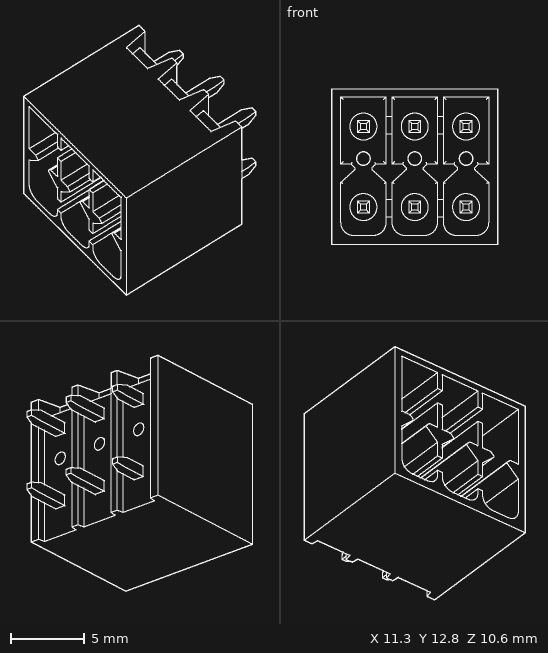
import cadquery as cq
import math

OVERALL_DEPTH = 12.75

HOUSING_WIDTH = 11.3
HOUSING_DEPTH = 10.0
HOUSING_HEIGHT = 10.6
COLUMNS = 3
COLUMN_PITCH = 3.49
COLUMN_X = [(i - (COLUMNS - 1) / 2) * COLUMN_PITCH for i in range(COLUMNS)]

CAVITY_WIDTH = 3.09
CAVITY_DEPTH = 7.01
CAVITY_TOP_Z = 4.75
CAVITY_BOTTOM_Z = -4.68
LEDGE_Z = 0.18
LEDGE_HALF_GAP = 0.83
WAIST_HALF_GAP = 0.6
WAIST_BULGE = 0.032
WAIST_BOTTOM_Z = -0.2
WAIST_TOP_Z = LEDGE_Z - (LEDGE_HALF_GAP - WAIST_HALF_GAP)
SHOULDER_Z = -1.07
LOWER_CORNER_RADIUS = 0.89
FLOOR_FILLET = 0.2

PIN_ROW_PITCH = 5.48
PIN_Z = [PIN_ROW_PITCH / 2, -PIN_ROW_PITCH / 2]
BOSS_DIAMETER = 1.84
BOSS_HEIGHT = 0.5
BOSS_FILLET = 0.3

VENT_DIAMETER = 0.9
VENT_Z = 0.56

SLOT_HEIGHT = 1.2
SLOT_LENGTH = 5.35
SLOT_PITCH = 5.64

RECESS_MOUTH_WIDTH = 2.96
RECESS_FLOOR_WIDTH = 2.32
NOTCH_DEPTH = 1.87
NOTCH_HEIGHT = 1.28
CHANNEL_DEPTH = 0.52

PIN_SIZE = 0.8
PIN_TIP_SIZE = 0.42
PIN_TIP_LENGTH = 0.78
PIN_FRONT_Y = 3.06
LONG_PIN_BACK_Y = OVERALL_DEPTH
SHORT_PIN_BACK_Y = LONG_PIN_BACK_Y - PIN_TIP_LENGTH


def plane_facing_back(x, y, z):
    """Work plane at a point, with its normal along +Y and its local y along +Z."""
    return cq.Workplane(cq.Plane(origin=(x, y, z), xDir=(-1, 0, 0), normal=(0, 1, 0)))


def cavity(x):
    """Cavity of one column, rounded where its walls meet its floor."""
    half = CAVITY_WIDTH / 2
    radius = LOWER_CORNER_RADIUS
    arc_inset = radius * (1 - math.sqrt(0.5))
    corner_z = CAVITY_BOTTOM_Z + radius
    waist_middle_z = (WAIST_TOP_Z + WAIST_BOTTOM_Z) / 2
    outline = (
        plane_facing_back(x, 0, 0)
        .moveTo(-half, CAVITY_TOP_Z)
        .lineTo(half, CAVITY_TOP_Z)
        .lineTo(half, LEDGE_Z)
        .lineTo(LEDGE_HALF_GAP, LEDGE_Z)
        .lineTo(WAIST_HALF_GAP, WAIST_TOP_Z)
        .threePointArc((WAIST_HALF_GAP - WAIST_BULGE, waist_middle_z), (WAIST_HALF_GAP, WAIST_BOTTOM_Z))
        .lineTo(half, SHOULDER_Z)
        .lineTo(half, corner_z)
        .threePointArc((half - arc_inset, CAVITY_BOTTOM_Z + arc_inset), (half - radius, CAVITY_BOTTOM_Z))
        .lineTo(radius - half, CAVITY_BOTTOM_Z)
        .threePointArc((arc_inset - half, CAVITY_BOTTOM_Z + arc_inset), (-half, corner_z))
        .lineTo(-half, SHOULDER_Z)
        .lineTo(-WAIST_HALF_GAP, WAIST_BOTTOM_Z)
        .threePointArc((WAIST_BULGE - WAIST_HALF_GAP, waist_middle_z), (-WAIST_HALF_GAP, WAIST_TOP_Z))
        .lineTo(-LEDGE_HALF_GAP, LEDGE_Z)
        .lineTo(-half, LEDGE_Z)
        .close()
    )
    return outline.extrude(CAVITY_DEPTH).faces(">Y").edges().fillet(FLOOR_FILLET)


def boss(x, z):
    """Round boss standing on the cavity floor, flared into it by a concave fillet."""
    radius = BOSS_DIAMETER / 2
    foot_radius = radius + BOSS_FILLET
    arc_inset = BOSS_FILLET * (1 - math.sqrt(0.5))
    top_y = CAVITY_DEPTH - BOSS_HEIGHT
    half_section = (
        cq.Workplane("XY", origin=(x, 0, z))
        .moveTo(0, CAVITY_DEPTH)
        .lineTo(0, top_y)
        .lineTo(radius, top_y)
        .lineTo(radius, CAVITY_DEPTH - BOSS_FILLET)
        .threePointArc((radius + arc_inset, CAVITY_DEPTH - arc_inset), (foot_radius, CAVITY_DEPTH))
        .close()
    )
    return half_section.revolve(360, (0, 0), (0, 1))


def wall_slots(z):
    """Slot at one height, open at the mouth, through every wall between the columns."""
    span = COLUMN_X[-1] - COLUMN_X[0]
    radius = SLOT_HEIGHT / 2
    straight = SLOT_LENGTH - radius
    return (
        cq.Workplane("YZ", origin=(COLUMN_X[0], 0, z))
        .moveTo(0, -radius)
        .lineTo(straight, -radius)
        .threePointArc((SLOT_LENGTH, 0), (straight, radius))
        .lineTo(0, radius)
        .close()
        .extrude(span)
    )


def tapered_recess(x, depth, top_z, height):
    """Recess in the back face, narrowing inward and reaching down from top_z."""
    taper = (RECESS_MOUTH_WIDTH - RECESS_FLOOR_WIDTH) / (2 * NOTCH_DEPTH)
    mouth_half = RECESS_MOUTH_WIDTH / 2
    inner_half = mouth_half - taper * depth
    inner_y = HOUSING_DEPTH - depth
    return (
        cq.Workplane("XY", origin=(x, 0, top_z))
        .moveTo(-mouth_half, HOUSING_DEPTH)
        .lineTo(mouth_half, HOUSING_DEPTH)
        .lineTo(inner_half, inner_y)
        .lineTo(-inner_half, inner_y)
        .close()
        .extrude(-height)
    )


def pin(x, z, back_y):
    """Square pin with a tapered tip at each end."""
    shank_front = PIN_FRONT_Y + PIN_TIP_LENGTH
    shank_back = back_y - PIN_TIP_LENGTH
    body = plane_facing_back(x, shank_front, z).rect(PIN_SIZE, PIN_SIZE).extrude(shank_back - shank_front)
    for shank_end, tip_offset in ((shank_front, -PIN_TIP_LENGTH), (shank_back, PIN_TIP_LENGTH)):
        tip = (
            plane_facing_back(x, shank_end, z)
            .rect(PIN_SIZE, PIN_SIZE)
            .workplane(offset=tip_offset)
            .rect(PIN_TIP_SIZE, PIN_TIP_SIZE)
            .loft()
        )
        body = body.union(tip)
    return body


pins = []
for column, pin_x in enumerate(COLUMN_X):
    pin_back = SHORT_PIN_BACK_Y if column == 0 else LONG_PIN_BACK_Y
    for pin_z in PIN_Z:
        pins.append(pin(pin_x, pin_z, pin_back))

housing = cq.Workplane("XY").box(HOUSING_WIDTH, HOUSING_DEPTH, HOUSING_HEIGHT, centered=(True, False, True))
for slot_z in (SLOT_PITCH / 2, -SLOT_PITCH / 2):
    housing = housing.cut(wall_slots(slot_z))
for column_x in COLUMN_X:
    housing = housing.cut(cavity(column_x))
    vent = plane_facing_back(column_x, 0, VENT_Z).circle(VENT_DIAMETER / 2).extrude(HOUSING_DEPTH)
    housing = housing.cut(vent)
    housing = housing.cut(tapered_recess(column_x, NOTCH_DEPTH, HOUSING_HEIGHT / 2, NOTCH_HEIGHT))
    housing = housing.cut(tapered_recess(column_x, CHANNEL_DEPTH, HOUSING_HEIGHT / 2, HOUSING_HEIGHT))
    for boss_z in PIN_Z:
        housing = housing.union(boss(column_x, boss_z))
for fitted_pin in pins:
    housing = housing.cut(fitted_pin)

result = cq.Compound.makeCompound([housing.val(), *[fitted_pin.val() for fitted_pin in pins]])